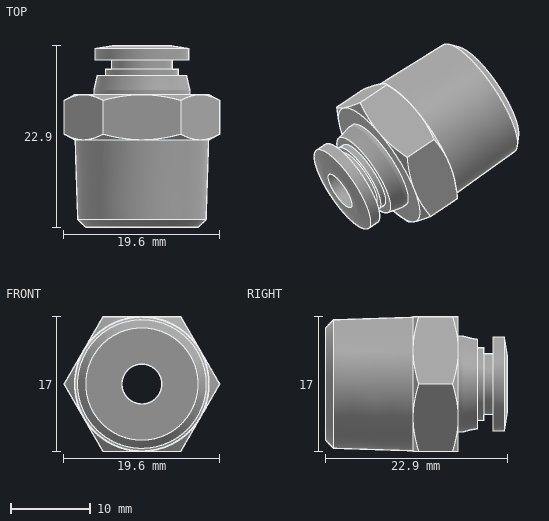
import cadquery as cq
import math

total_length = 22.9
bore_radius = 2.5

thread_tip_radius = 7.08
thread_start_radius = 8.1
thread_end_radius = 8.43
tip_chamfer_length = 0.98

hex_across_flats = 17.0
hex_start = 11.04
hex_end = 16.72
hex_chamfer_radius = 8.5
hex_chamfer_depth = 0.7
hex_corner_radius = hex_across_flats / math.sqrt(3)

collar_radius = 6.07
collar_straight_end = 17.27
collar_top_radius = 5.63
collar_end = 19.17

shoulder_radius = 4.6
shoulder_end = 19.95
neck_radius = 3.85
neck_end = 21.1
flange_radius = 5.93
flange_rim_end = 22.53
flange_face_radius = 3.66


def revolve_profile(points):
    """Revolve (radius, y) points, closed along the axis, around Y."""
    return cq.Workplane("XY").polyline(points).close().revolve(360, (0, 0, 0), (0, 1, 0))


def make_hexagon():
    """Hexagon with its corners on X and both ends chamfered conically."""
    prism = (
        cq.Workplane("XZ", origin=(0, hex_start, 0))
        .polygon(6, 2 * hex_corner_radius)
        .extrude(hex_start - hex_end)
    )
    chamfer_envelope = revolve_profile([
        (0, hex_start),
        (hex_chamfer_radius, hex_start),
        (hex_corner_radius, hex_start + hex_chamfer_depth),
        (hex_corner_radius, hex_end - hex_chamfer_depth),
        (hex_chamfer_radius, hex_end),
        (0, hex_end),
    ])
    return prism.intersect(chamfer_envelope)


def make_turned_body():
    """Thread, collar and release sleeve as one turned profile."""
    return revolve_profile([
        (0, 0),
        (thread_tip_radius, 0),
        (thread_start_radius, tip_chamfer_length),
        (thread_end_radius, hex_start),
        (collar_radius, hex_end),
        (collar_radius, collar_straight_end),
        (collar_top_radius, collar_end),
        (shoulder_radius, collar_end),
        (shoulder_radius, shoulder_end),
        (neck_radius, shoulder_end),
        (neck_radius, neck_end),
        (flange_radius, neck_end),
        (flange_radius, flange_rim_end),
        (flange_face_radius, total_length),
        (0, total_length),
    ])


def make_bore():
    """Through bore along the whole fitting."""
    return cq.Workplane("XZ").circle(bore_radius).extrude(-total_length)


result = make_turned_body().union(make_hexagon()).cut(make_bore())